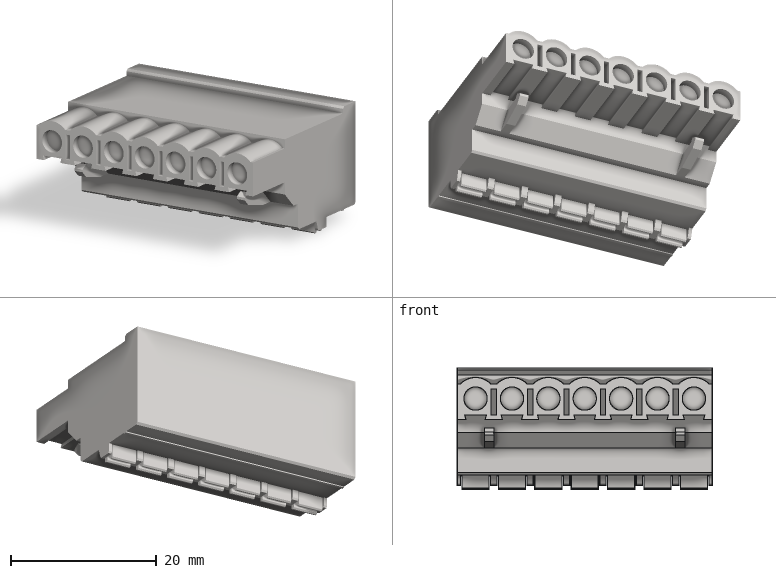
import cadquery as cq
import math


POLE_COUNT = 7
PITCH = 5.0
END_MARGIN = 0.05
WIDTH = POLE_COUNT * PITCH + 2 * END_MARGIN
POLE_X = [(i - (POLE_COUNT - 1) / 2) * PITCH for i in range(POLE_COUNT)]
WALL_X = [(i - POLE_COUNT / 2) * PITCH for i in range(POLE_COUNT + 1)]

TOTAL_DEPTH = 26.6
BODY_DEPTH = 18.35
FOOT_DEPTH = 14.95
RIDGE_DEPTH = 3.25
BODY_TOP = 13.75
RIDGE_HEIGHT = 0.95
SLOPE_TOP = 5.85
SLOPE_BOTTOM = 3.7
SLOPE_END_DEPTH = 16.1
EDGE_CHAMFER = 0.3

BARREL_Z = 10.48
BARREL_RADIUS = 2.9
SHOULDER_Z = 12.45
ENTRY_ROW_BOTTOM = 7.6
ENTRY_ROW_LENGTH = TOTAL_DEPTH - BODY_DEPTH
WIRE_HOLE_DIAMETER = 3.2
WIRE_HOLE_DEPTH = 1.2
SLIT_WIDTH = 0.72
SLIT_TOP = 11.8
SLIT_BOTTOM = 8.22
DOVETAIL_HEIGHT = 0.65
DOVETAIL_MOUTH_WIDTH = 2.65
DOVETAIL_ROOF_WIDTH = 3.0

LATCH_WIDTH = 1.3
LATCH_X = 13.15
LATCH_NECK = (18.5, 5.77)
LATCH_HOOK_FOOT = (21.3, 5.9)
LATCH_HOOK_PEAK = (21.75, 6.42)
LATCH_TIP_DEPTH = 22.72
LATCH_TIP_TOP = 5.88
LATCH_TIP_BOTTOM = 5.5
LATCH_CHIN = (21.8, 4.6)
LATCH_HEEL_DEPTH = 18.1

BEAD_BACK = 2.98
BEAD_FRONT = 3.47
BEAD_HEIGHT = 0.15
RIB_WIDTH = 0.9
RIB_HEIGHT = 1.45
RIB_CHAMFER_HEIGHT = 0.3
RIB_BACK = 7.5
RIB_TIP_BACK = 7.63
RIB_TIP_FRONT = 9.6
RIB_TAPER_FRONT = 9.8
RIB_ROOT_FRONT = 10.15
LEG_WIDTH = 3.75
LEG_HEIGHT = 2.0
LEG_THICKNESS = 0.62
LEG_BACK_DEPTHS = [7.65, 9.02]
LEG_CHAMFER = 0.2
ROOT_OVERLAP = 0.5


def side_prism(points, width, x_center=0.0):
    """Extrude a (depth, height) outline along X, centred on x_center."""
    outline = [(-depth, height) for depth, height in points]
    prism = cq.Workplane("YZ").polyline(outline).close().extrude(width / 2, both=True)
    return prism.translate((x_center, 0, 0))


def full_width_bar(back_depth, front_depth, bottom, top):
    corners = [(back_depth, bottom), (front_depth, bottom), (front_depth, top), (back_depth, top)]
    return side_prism(corners, WIDTH)


def make_body():
    """Housing block with the rear ridge, the sloped front face and the stepped foot."""
    ridge_top = BODY_TOP + RIDGE_HEIGHT
    return side_prism(
        [
            (0, EDGE_CHAMFER),
            (0, ridge_top),
            (RIDGE_DEPTH - EDGE_CHAMFER, ridge_top),
            (RIDGE_DEPTH, ridge_top - EDGE_CHAMFER),
            (RIDGE_DEPTH, BODY_TOP),
            (BODY_DEPTH, BODY_TOP),
            (BODY_DEPTH, SLOPE_TOP),
            (SLOPE_END_DEPTH, SLOPE_BOTTOM),
            (FOOT_DEPTH, SLOPE_BOTTOM),
            (FOOT_DEPTH, EDGE_CHAMFER),
            (FOOT_DEPTH - EDGE_CHAMFER, 0),
            (EDGE_CHAMFER, 0),
        ],
        WIDTH,
    )


def make_entry_row():
    """Projecting row with a rounded crown over each wire entry."""
    row = full_width_bar(BODY_DEPTH - ROOT_OVERLAP, TOTAL_DEPTH, ENTRY_ROW_BOTTOM, SHOULDER_Z)
    half_chord = math.sqrt(BARREL_RADIUS ** 2 - (SHOULDER_Z - BARREL_Z) ** 2)
    front = cq.Workplane("XZ", origin=(0, -BODY_DEPTH, 0))
    for x in POLE_X:
        crown = (
            front.moveTo(x - half_chord, SHOULDER_Z)
            .threePointArc((x, BARREL_Z + BARREL_RADIUS), (x + half_chord, SHOULDER_Z))
            .lineTo(x + half_chord, BARREL_Z)
            .lineTo(x - half_chord, BARREL_Z)
            .close()
            .extrude(ENTRY_ROW_LENGTH)
        )
        row = row.union(crown)
    return row


def make_wire_holes():
    """Blind round wire entries in the front face."""
    return (
        cq.Workplane("XZ", origin=(0, -TOTAL_DEPTH, 0))
        .pushPoints([(x, BARREL_Z) for x in POLE_X])
        .circle(WIRE_HOLE_DIAMETER / 2)
        .extrude(-WIRE_HOLE_DEPTH)
    )


def make_slits():
    """Narrow vertical slits between neighbouring poles, as long as the entry row."""
    return (
        cq.Workplane("XZ", origin=(0, -BODY_DEPTH, 0))
        .pushPoints([(x, (SLIT_TOP + SLIT_BOTTOM) / 2) for x in WALL_X[1:-1]])
        .rect(SLIT_WIDTH, SLIT_TOP - SLIT_BOTTOM)
        .extrude(ENTRY_ROW_LENGTH)
    )


def make_dovetail_grooves():
    """Undercut grooves along the underside of the entry row, one per pole."""
    mouth = DOVETAIL_MOUTH_WIDTH / 2
    roof = DOVETAIL_ROOF_WIDTH / 2
    roof_z = ENTRY_ROW_BOTTOM + DOVETAIL_HEIGHT
    grooves = cq.Workplane("XZ", origin=(0, -BODY_DEPTH, 0))
    for x in POLE_X:
        grooves = grooves.polyline(
            [
                (x - mouth, ENTRY_ROW_BOTTOM),
                (x - roof, roof_z),
                (x + roof, roof_z),
                (x + mouth, ENTRY_ROW_BOTTOM),
            ]
        ).close()
    return grooves.extrude(ENTRY_ROW_LENGTH)


def make_latch(x):
    """Springy arm growing out of the sloped face, with a hooked tip."""
    return side_prism(
        [
            (BODY_DEPTH - ROOT_OVERLAP, SLOPE_TOP),
            (BODY_DEPTH, SLOPE_TOP),
            LATCH_NECK,
            LATCH_HOOK_FOOT,
            LATCH_HOOK_PEAK,
            (LATCH_TIP_DEPTH, LATCH_TIP_TOP),
            (LATCH_TIP_DEPTH, LATCH_TIP_BOTTOM),
            LATCH_CHIN,
            (LATCH_HEEL_DEPTH, SLOPE_BOTTOM),
            (SLOPE_END_DEPTH - ROOT_OVERLAP, SLOPE_BOTTOM),
        ],
        LATCH_WIDTH,
        x,
    )


def make_coding_rib(left, right):
    """Tapered rib under a pole wall, between the left and right X positions."""
    taper_end = -RIB_HEIGHT + RIB_CHAMFER_HEIGHT
    return side_prism(
        [
            (RIB_BACK, ROOT_OVERLAP),
            (RIB_BACK, taper_end),
            (RIB_TIP_BACK, -RIB_HEIGHT),
            (RIB_TIP_FRONT, -RIB_HEIGHT),
            (RIB_TAPER_FRONT, taper_end),
            (RIB_ROOT_FRONT, 0),
            (RIB_ROOT_FRONT, ROOT_OVERLAP),
        ],
        right - left,
        (left + right) / 2,
    )


def make_contact_leg(x, back_depth):
    """Flat leg with a chamfered tip, hanging below the housing."""
    front_depth = back_depth + LEG_THICKNESS
    return side_prism(
        [
            (back_depth, ROOT_OVERLAP),
            (back_depth, -LEG_HEIGHT + LEG_CHAMFER),
            (back_depth + LEG_CHAMFER, -LEG_HEIGHT),
            (front_depth - LEG_CHAMFER, -LEG_HEIGHT),
            (front_depth, -LEG_HEIGHT + LEG_CHAMFER),
            (front_depth, ROOT_OVERLAP),
        ],
        LEG_WIDTH,
        x,
    )


def make_underside():
    """Bead, coding ribs and contact legs below the housing."""
    parts = full_width_bar(BEAD_BACK, BEAD_FRONT, -BEAD_HEIGHT, ROOT_OVERLAP)
    for x in WALL_X:
        left = max(x - RIB_WIDTH / 2, -WIDTH / 2)
        right = min(x + RIB_WIDTH / 2, WIDTH / 2)
        parts = parts.union(make_coding_rib(left, right))
    for x in POLE_X:
        for back_depth in LEG_BACK_DEPTHS:
            parts = parts.union(make_contact_leg(x, back_depth))
    return parts


housing = make_body().union(make_entry_row())
housing = housing.cut(make_wire_holes()).cut(make_slits()).cut(make_dovetail_grooves())
for latch_x in (-LATCH_X, LATCH_X):
    housing = housing.union(make_latch(latch_x))
result = housing.union(make_underside())